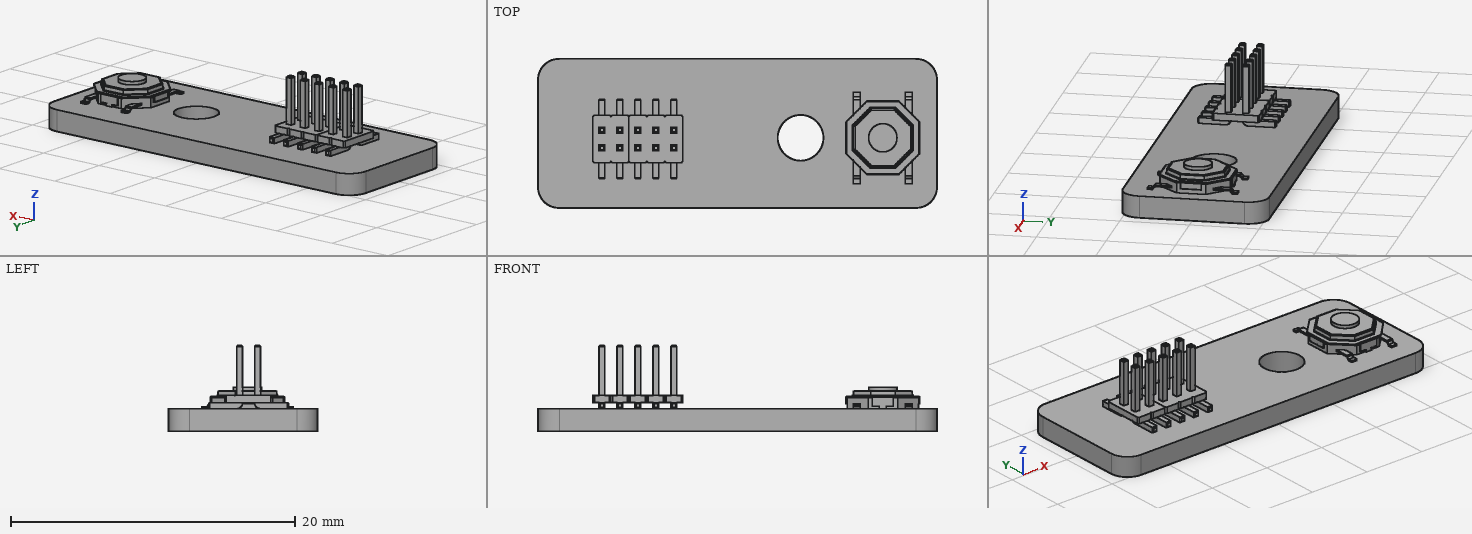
import cadquery as cq
import math

BOARD_LENGTH = 28.1
BOARD_WIDTH = 10.5
BOARD_THICKNESS = 1.6
BOARD_CORNER_RADIUS = 1.5
HOLE_X = 4.45
HOLE_Y = -0.3
HOLE_DIAMETER = 3.2

PITCH = 1.26
HEADER_START_X = -10.18
HEADER_Y = -0.4
HEADER_COLUMNS = (2, 3)
INSULATOR_WIDTH = 3.37
INSULATOR_BOTTOM = 0.42
INSULATOR_HEIGHT = 0.5
CELL_CHAMFER = 0.1
PIN_SIZE = INSULATOR_BOTTOM
PIN_TOP = 4.45
PIN_BEND_RADIUS = 0.4
PIN_TIP_CHAMFER = 0.08
PIN_FOOT_SPAN = 5.62

SWITCH_X = 10.23
SWITCH_Y = HOLE_Y
OCTAGON_SIDES = 8
SHEET_THICKNESS = 0.098
LID_FLATS = 5.23
LID_TOP = 0.87
LID_BEVEL = 0.08
BASE_FLATS = LID_FLATS - 2 * SHEET_THICKNESS
TAB_WIDTH = 1.5
TONGUE_WIDTH = 0.5
LONG_TAB_BOTTOM = 0.17
SHORT_TAB_BOTTOM = 0.35
CAP_FLANGE_FLATS = 4.27
CAP_FLANGE_TOP = 0.93
CAP_WALL_FLATS = 4.2
CAP_SHOULDER_FLATS = 4.13
CAP_TOP_FLATS = 3.9
CAP_SHOULDER_Z = 1.2
CAP_TOP = 1.26
BUTTON_DIAMETER = 2.0
BUTTON_TOP = 1.52
LEAD_SPACING = 3.65
LEAD_WIDTH = 0.48
LEAD_SPAN = 6.45
LEAD_THICKNESS = 0.1
LEAD_TOP = 0.35
FOOT_LENGTH = 0.35
LEAD_SLOPE_LENGTH = 0.2


def make_board():
    board = (
        cq.Workplane("XY")
        .box(BOARD_LENGTH, BOARD_WIDTH, BOARD_THICKNESS, centered=(True, True, False))
        .translate((0, 0, -BOARD_THICKNESS))
        .edges("|Z")
        .fillet(BOARD_CORNER_RADIUS)
    )
    return board.faces(">Z").workplane(origin=(HOLE_X, HOLE_Y, 0)).hole(HOLE_DIAMETER)


def make_pin():
    """Angled pin of the -Y row: upright at x = 0, with its foot running toward -Y."""
    upright_y = -PITCH / 2
    foot_end = -PIN_FOOT_SPAN / 2
    upright = (
        cq.Workplane("XY")
        .center(0, upright_y)
        .rect(PIN_SIZE, PIN_SIZE)
        .extrude(PIN_TOP)
        .faces(">Z")
        .chamfer(PIN_TIP_CHAMFER)
    )
    foot_length = upright_y + PIN_SIZE / 2 - foot_end
    foot = (
        cq.Workplane("XZ", origin=(0, foot_end, 0))
        .center(0, PIN_SIZE / 2)
        .rect(PIN_SIZE, PIN_SIZE)
        .extrude(-foot_length)
        .faces("<Y")
        .chamfer(PIN_TIP_CHAMFER)
    )
    pin = upright.union(foot)
    return pin.edges("|X and >Y and <Z").fillet(PIN_BEND_RADIUS)


def make_header(columns, start_x):
    """One header strip of several cells, starting at start_x and running toward +X."""
    header = None
    pin = make_pin()
    for column in range(columns):
        cell = (
            cq.Workplane("XY")
            .box(PITCH, INSULATOR_WIDTH, INSULATOR_HEIGHT, centered=(True, True, False))
            .edges("|Z")
            .chamfer(CELL_CHAMFER)
            .translate((0, 0, INSULATOR_BOTTOM))
            .union(pin)
            .union(pin.mirror("XZ"))
            .translate((start_x + (column + 0.5) * PITCH, HEADER_Y, 0))
        )
        header = cell if header is None else header.union(cell)
    return header


def octagon(flats, bottom):
    """Regular octagon with flats facing X and Y, drawn at the height bottom."""
    across_corners = flats / math.cos(math.pi / OCTAGON_SIDES)
    return (
        cq.Workplane("XY", origin=(0, 0, bottom))
        .transformed(rotate=(0, 0, 180 / OCTAGON_SIDES))
        .polygon(OCTAGON_SIDES, across_corners)
    )


def octagon_frustum(bottom_flats, top_flats, bottom, top):
    """Octagon that narrows from bottom_flats to top_flats between two heights."""
    taper = math.degrees(math.atan((bottom_flats - top_flats) / 2 / (top - bottom)))
    return octagon(bottom_flats, bottom).extrude(top - bottom, taper=taper)


def make_lid():
    """Lid with bevelled X and Y sides, a tab below each, and a tongue down to the board on the Y tabs."""
    lid = octagon(LID_FLATS, LID_TOP - SHEET_THICKNESS).extrude(SHEET_THICKNESS)
    tab_top = LID_TOP - SHEET_THICKNESS
    for size_x, size_y, bottom in (
        (TAB_WIDTH, LID_FLATS, LONG_TAB_BOTTOM),
        (TONGUE_WIDTH, LID_FLATS, 0),
        (LID_FLATS, TAB_WIDTH, SHORT_TAB_BOTTOM),
    ):
        tab_pair = cq.Workplane("XY", origin=(0, 0, bottom)).rect(size_x, size_y).extrude(tab_top - bottom)
        lid = lid.union(tab_pair)
    for side in (">X", "<X", ">Y", "<Y"):
        lid = lid.faces(">Z").edges(side).chamfer(LID_BEVEL)
    return lid


def make_lead():
    """Flat lead running along Y through the base, stepping down to a foot at each end."""
    foot_end = LEAD_SPAN / 2
    foot_start = foot_end - FOOT_LENGTH
    slope_start = foot_start - LEAD_SLOPE_LENGTH
    lead_bottom = LEAD_TOP - LEAD_THICKNESS
    half = (
        cq.Workplane("YZ")
        .moveTo(0, LEAD_TOP)
        .lineTo(slope_start, LEAD_TOP)
        .lineTo(foot_start, LEAD_THICKNESS)
        .lineTo(foot_end, LEAD_THICKNESS)
        .lineTo(foot_end, 0)
        .lineTo(foot_start, 0)
        .lineTo(slope_start, lead_bottom)
        .lineTo(0, lead_bottom)
        .close()
        .extrude(LEAD_WIDTH / 2, both=True)
    )
    return half.union(half.mirror("XZ"))


def make_switch():
    base = octagon(BASE_FLATS, 0).extrude(LID_TOP - SHEET_THICKNESS)
    cap_flange = octagon(CAP_FLANGE_FLATS, LID_TOP).extrude(CAP_FLANGE_TOP - LID_TOP)
    cap_wall = octagon_frustum(CAP_WALL_FLATS, CAP_SHOULDER_FLATS, CAP_FLANGE_TOP, CAP_SHOULDER_Z)
    cap_rim = octagon_frustum(CAP_SHOULDER_FLATS, CAP_TOP_FLATS, CAP_SHOULDER_Z, CAP_TOP)
    button = (
        cq.Workplane("XY", origin=(0, 0, CAP_TOP))
        .circle(BUTTON_DIAMETER / 2)
        .extrude(BUTTON_TOP - CAP_TOP)
    )
    switch = base.union(make_lid())
    for piece in (cap_flange, cap_wall, cap_rim, button):
        switch = switch.union(piece)
    for side in (-1, 1):
        switch = switch.union(make_lead().translate((side * LEAD_SPACING / 2, 0, 0)))
    return switch.translate((SWITCH_X, SWITCH_Y, 0))


board = make_board()
switch = make_switch()

headers = []
header_x = HEADER_START_X
for columns in HEADER_COLUMNS:
    headers.append(make_header(columns, header_x).val())
    header_x += columns * PITCH

result = cq.Compound.makeCompound([board.val(), *headers, switch.val()])